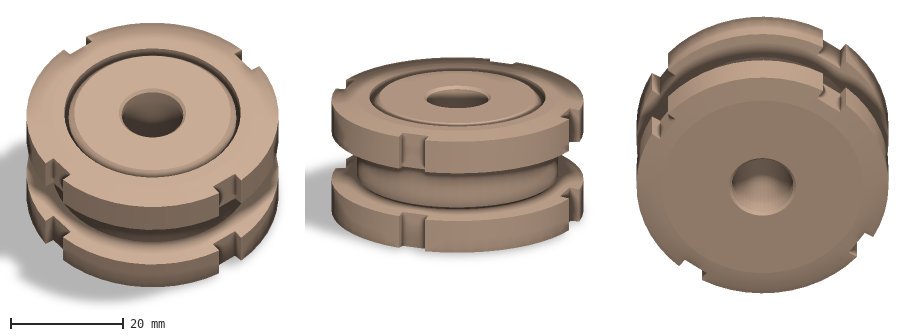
import cadquery as cq

outer_width = 44.7
total_height = 22.0
slot_width = 5.0
slot_floor_radius = 20.55

flange_radius = ((outer_width / 2) ** 2 + (slot_width / 2) ** 2) ** 0.5
flange_height = 6.98
land_radius = 17.98
face_drop = 0.5

sleeve_radius = land_radius
sleeve_chamfer = 0.5
stud_radius = 15.0
stud_chamfer = 1.05
bore_radius = 5.5
bore_chamfer = 0.5

nut_hole_radius = 15.75


def make_flange(bottom):
    """Round flange with slightly conical faces and four wrench slots."""
    top = bottom + flange_height
    flange = (
        cq.Workplane("XZ")
        .moveTo(0, bottom)
        .lineTo(land_radius, bottom)
        .lineTo(flange_radius, bottom + face_drop)
        .lineTo(flange_radius, top - face_drop)
        .lineTo(land_radius, top)
        .lineTo(0, top)
        .close()
        .revolve(360, (0, 0, 0), (0, 1, 0))
    )
    slot_length = 2 * (flange_radius - slot_floor_radius)
    slots = (
        cq.Workplane("XY")
        .workplane(offset=bottom)
        .polarArray(slot_floor_radius + slot_length / 2, 0, 360, 4)
        .rect(slot_length, slot_width)
        .extrude(flange_height)
    )
    return flange.cut(slots)


def make_base():
    """Lower flange with its central stud and a chamfered through bore."""
    stud = (
        cq.Workplane("XY")
        .circle(stud_radius)
        .extrude(total_height)
        .faces(">Z")
        .chamfer(stud_chamfer)
    )
    bore = cq.Workplane("XY").circle(bore_radius).extrude(total_height)
    base = make_flange(0).union(stud).cut(bore)
    return base.edges(cq.selectors.RadiusNthSelector(0)).chamfer(bore_chamfer)


def make_ring_nut():
    """Upper flange with its sleeve, which surrounds the stud and rests on the base."""
    sleeve = (
        cq.Workplane("XY")
        .workplane(offset=flange_height)
        .circle(sleeve_radius)
        .extrude(total_height - flange_height)
        .faces("<Z")
        .chamfer(sleeve_chamfer)
    )
    hole = cq.Workplane("XY").circle(nut_hole_radius).extrude(total_height)
    flange = make_flange(total_height - flange_height)
    return flange.union(sleeve).cut(hole)


base = make_base()
ring_nut = make_ring_nut()
result = cq.Compound.makeCompound([base.solids().val(), ring_nut.solids().val()])